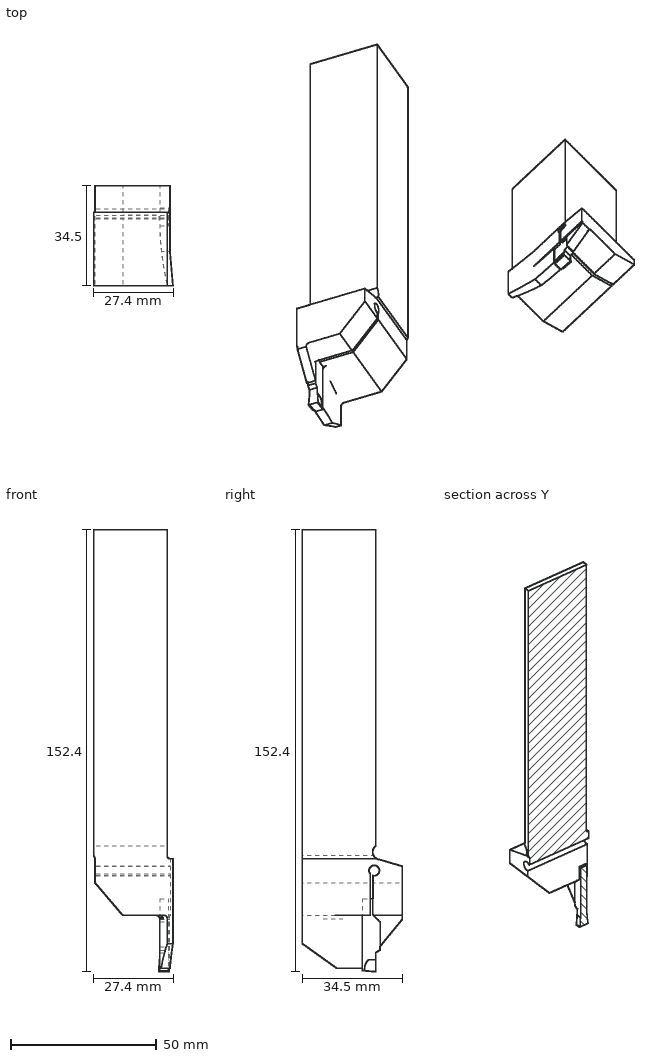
import cadquery as cq
import math


overall_width = 27.38
overall_depth = 34.5
overall_height = 152.4
shank_size = 25.4

head_left = 0.45
head_bottom = 19.5
left_step_bottom = 39.2
left_step_height = 0.9
ledge_height = 39.0
ledge_fillet = 1.0
head_right = shank_size + ledge_fillet
corner_chamfer_right = 10.0
corner_chamfer_top = 30.7

jaw_back_top = 36.4
jaw_back_bottom = 18.1
jaw_tip_bottom = 8.7
neck_top = 43.4
neck_depth = 1.1
neck_deepest = 41.2
neck_end_y = 26.8
neck_end_z = 38.7

blade_left = 22.75
blade_left_front = 25.4
blade_right = 26.1
blade_straight_y = 22.0
blade_bottom = 1.2
blade_bottom_front_y = 11.9
blade_front_bottom = 9.7
blade_root_fillet = 1.2

slot_low_y = 23.5
slot_high_y = 24.3
relief_hole_y = 24.8
relief_hole_z = 34.9
relief_hole_diameter = 3.5

insert_low_y = 20.7
insert_high_y = 26.8
insert_left = blade_left
insert_right = 25.7
insert_back = 25.2
insert_neck_top = 19.7
insert_neck_bottom = insert_neck_top - (insert_high_y - slot_high_y)
insert_shoulder_back = 7.5
insert_shoulder_front = 6.6
insert_relief = 0.4
tip_length = 4.2
tip_flat_end_y = 22.9
tip_heel_y = 21.6
tip_arc_radius = 4.0
tip_side_left = 0.35
tip_side_right = 0.4
tip_side_top = 0.05


def tangent_radius(sideways, along):
    """Radius of an arc that starts parallel to Y and drifts sideways over a length along Y."""
    return (sideways ** 2 + along ** 2) / (2 * sideways)


def plan_outline(left_back, left_front):
    """XY outline from a straight or curved left face to the curved outer face of the blade."""
    outer_radius = tangent_radius(overall_width - blade_right, blade_straight_y)
    outline = (
        cq.Workplane("XY")
        .moveTo(left_front, 0)
        .lineTo(overall_width, 0)
        .radiusArc((blade_right, blade_straight_y), outer_radius)
        .lineTo(blade_right, overall_depth)
        .lineTo(left_back, overall_depth)
    )
    if left_front > left_back:
        inner_radius = tangent_radius(left_front - left_back, blade_straight_y)
        outline = (
            outline.lineTo(left_back, blade_straight_y)
            .radiusArc((left_front, 0), -inner_radius)
        )
    return outline.close()


def make_shank_and_head():
    """Shank and head: a front outline with its +X side trimmed to the plan of the tool."""
    fillet_bulge = ledge_fillet * (1 - math.sqrt(0.5))
    front_shape = (
        cq.Workplane("XZ")
        .moveTo(0, overall_height)
        .lineTo(shank_size, overall_height)
        .lineTo(shank_size, ledge_height + ledge_fillet)
        .threePointArc(
            (shank_size + fillet_bulge, ledge_height + fillet_bulge),
            (shank_size + ledge_fillet, ledge_height),
        )
        .lineTo(overall_width, ledge_height)
        .lineTo(overall_width, head_bottom)
        .lineTo(corner_chamfer_right, head_bottom)
        .lineTo(head_left, corner_chamfer_top)
        .lineTo(head_left, left_step_bottom)
        .lineTo(0, left_step_bottom + left_step_height)
        .close()
        .extrude(-overall_depth)
    )
    curved_plan = plan_outline(0, 0).extrude(overall_height)
    straight_plan = cq.Workplane("XY").box(head_right, overall_depth, overall_height, centered=False)
    return front_shape.intersect(curved_plan.union(straight_plan))


def add_blade(body):
    """Hang the curved blade under the head and round its root on the -X face."""
    blade = plan_outline(blade_left, blade_left_front).extrude(head_bottom)
    root_band = cq.selectors.BoxSelector(
        (blade_left - 0.1, 0, head_bottom - 0.1),
        (blade_left_front, overall_depth, head_bottom + 0.1),
    )
    return body.union(blade).edges(root_band).fillet(blade_root_fillet)


def side_shape():
    """Side outline of the holder: shank, neck, jaw and blade, before the insert gap is cut."""
    return (
        cq.Workplane("YZ")
        .moveTo(0, overall_height)
        .lineTo(shank_size, overall_height)
        .lineTo(shank_size, neck_top)
        .threePointArc((shank_size - neck_depth, neck_deepest), (neck_end_y, neck_end_z))
        .lineTo(overall_depth, jaw_back_top)
        .lineTo(overall_depth, jaw_back_bottom)
        .lineTo(insert_high_y, jaw_tip_bottom)
        .lineTo(insert_high_y, blade_bottom)
        .lineTo(blade_bottom_front_y, blade_bottom)
        .lineTo(0, blade_front_bottom)
        .close()
        .extrude(overall_width)
    )


def clamping_slot():
    """Narrow slot through the head from its underside up to the relief hole."""
    slot = (
        cq.Workplane("XY", origin=(0, slot_low_y, head_bottom))
        .box(overall_width, slot_high_y - slot_low_y, relief_hole_z - head_bottom, centered=False)
    )
    relief_hole = (
        cq.Workplane("YZ")
        .center(relief_hole_y, relief_hole_z)
        .circle(relief_hole_diameter / 2)
        .extrude(overall_width)
    )
    return slot.union(relief_hole)


def insert_gap():
    """Gap across the blade between its support and the jaw, open at the bottom."""
    return (
        cq.Workplane("YZ")
        .moveTo(insert_low_y, 0)
        .lineTo(insert_low_y, head_bottom)
        .lineTo(slot_high_y, head_bottom)
        .lineTo(slot_high_y, insert_neck_top)
        .lineTo(insert_high_y, insert_neck_bottom)
        .lineTo(insert_high_y, 0)
        .close()
        .extrude(overall_width)
    )


def make_insert():
    """Insert bar with a narrower back end and a cutting tip that flares slightly toward its end."""
    bar = (
        cq.Workplane("YZ", origin=(insert_left, 0, 0))
        .moveTo(shank_size, 0)
        .lineTo(shank_size, insert_shoulder_front)
        .lineTo(insert_high_y, insert_shoulder_back)
        .lineTo(insert_high_y, insert_neck_bottom)
        .lineTo(slot_high_y, insert_neck_top)
        .lineTo(slot_high_y, insert_back)
        .lineTo(insert_low_y, insert_back)
        .lineTo(insert_low_y, insert_relief)
        .close()
        .extrude(insert_right - insert_left)
    )
    tip_block = (
        cq.Workplane("YZ")
        .moveTo(shank_size, 0)
        .lineTo(shank_size, tip_length)
        .lineTo(tip_flat_end_y, tip_length)
        .radiusArc((tip_heel_y, insert_relief), -tip_arc_radius)
        .close()
        .extrude(overall_width)
    )
    tip_taper = (
        cq.Workplane("XZ")
        .moveTo(insert_left - tip_side_left, 0)
        .lineTo(insert_right + tip_side_right, 0)
        .lineTo(insert_right + tip_side_top, tip_length)
        .lineTo(insert_left - tip_side_top, tip_length)
        .close()
        .extrude(-overall_depth)
    )
    return bar.union(tip_block.intersect(tip_taper))


def make_holder(insert_body):
    """Holder with a recess in the head that matches the back end of the insert."""
    body = add_blade(make_shank_and_head()).intersect(side_shape())
    return body.cut(clamping_slot()).cut(insert_gap()).cut(insert_body)


insert = make_insert()
holder = make_holder(insert)

result = cq.Compound.makeCompound([holder.solids().val(), insert.solids().val()])